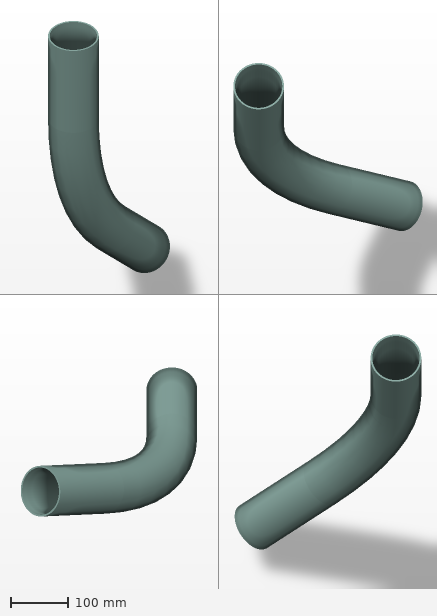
import cadquery as cq
import math

outer_diameter = 88.9
inner_diameter = 82.8

leg_length = 2 * outer_diameter
bend_radius = 457.2
bend_angle = 45.0


def bend_point(angle):
    """Centreline point (Y, Z) after turning by the given angle, in degrees."""
    turn = math.radians(angle)
    return (
        bend_radius * (1 - math.cos(turn)),
        -bend_radius * math.sin(turn),
    )


def centreline():
    """Path in the YZ plane, from the open top end down and towards +Y."""
    bend_end_y, bend_end_z = bend_point(bend_angle)
    turn = math.radians(bend_angle)
    lower_end = (
        bend_end_y + leg_length * math.sin(turn),
        bend_end_z - leg_length * math.cos(turn),
    )
    return (
        cq.Workplane("YZ")
        .moveTo(0, leg_length)
        .lineTo(0, 0)
        .threePointArc(bend_point(bend_angle / 2), (bend_end_y, bend_end_z))
        .lineTo(*lower_end)
    )


def tube():
    """Ring section at the top end, swept along the centreline."""
    ring = (
        cq.Workplane("XY", origin=(0, 0, leg_length))
        .circle(outer_diameter / 2)
        .circle(inner_diameter / 2)
    )
    return ring.sweep(centreline())


result = tube()